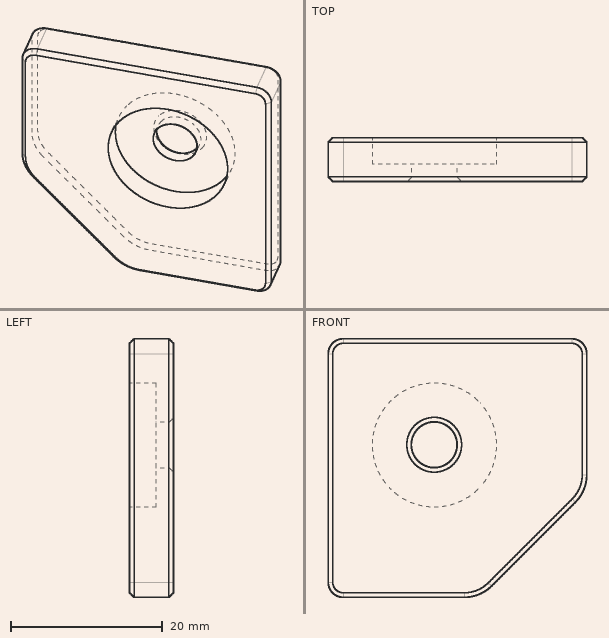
import cadquery as cq

side = 34.15
thickness = 5.8
corner_cut = 14.05
corner_radius = 2.0
cut_radius = 5.12
edge_chamfer = 0.6

hole_diameter = 6.0
hole_edge_distance = 14.0
counterbore_diameter = 16.4
counterbore_floor = 2.32

half_side = side / 2
half_thickness = thickness / 2


def make_plate():
    """Plate with rounded corners and chamfered front and back rims."""
    cut_x = half_side - corner_cut
    cut_z = -half_side + corner_cut
    outline = [
        (-half_side, -half_side),
        (cut_x, -half_side),
        (half_side, cut_z),
        (half_side, half_side),
        (-half_side, half_side),
    ]
    plate = (
        cq.Workplane("XZ", origin=(0, half_thickness, 0))
        .polyline(outline)
        .close()
        .extrude(thickness)
    )
    for x, z in [(cut_x, -half_side), (half_side, cut_z)]:
        plate = plate.edges(cq.NearestToPointSelector((x, 0, z))).fillet(cut_radius)
    for x, z in [(-half_side, -half_side), (-half_side, half_side), (half_side, half_side)]:
        plate = plate.edges(cq.NearestToPointSelector((x, 0, z))).fillet(corner_radius)
    return plate.faces("<Y or >Y").chamfer(edge_chamfer)


def hole_cutter():
    """Stepped hole with a countersunk front mouth, turned about an axis along Y."""
    hole_radius = hole_diameter / 2
    counterbore_radius = counterbore_diameter / 2
    front = -half_thickness
    floor = front + counterbore_floor
    profile = [
        (0, front),
        (hole_radius + edge_chamfer, front),
        (hole_radius, front + edge_chamfer),
        (hole_radius, floor),
        (counterbore_radius, floor),
        (counterbore_radius, half_thickness),
        (0, half_thickness),
    ]
    cutter = cq.Workplane("XY").polyline(profile).close().revolve(360, (0, 0), (0, 1))
    hole_x = -half_side + hole_edge_distance
    hole_z = half_side - hole_edge_distance
    return cutter.translate((hole_x, 0, hole_z))


result = make_plate().cut(hole_cutter())